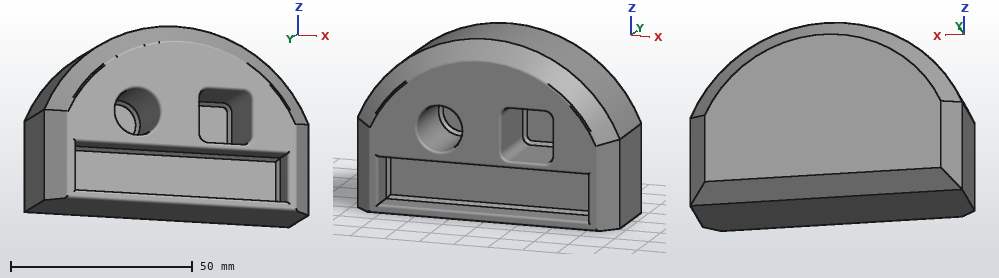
import cadquery as cq

width = 76.2
depth = 28.7
height = 50.8
wall_height = height / 2
bevel = 5.0
edge_round = 0.725

floor_chamfer = 1.0
recess_offset = width / 6
recess_height = wall_height
deep_recess_depth = 20.0
hole_diameter = 13.0
square_side = 15.0
square_corner_radius = 2.5
tray_width = 60.95
tray_bottom = 2.5
tray_height = 13.5
tray_depth = 8.0

OVERLAP = 0.8


def make_body():
    """Arched block with 45 degree bevels, except at the front bottom edge, and a rounded front rim."""
    half = width / 2
    block = (
        cq.Workplane("XZ")
        .moveTo(-half, 0)
        .lineTo(half, 0)
        .lineTo(half, wall_height)
        .threePointArc((0, height), (-half, wall_height))
        .close()
        .extrude(-depth)
    )
    block = block.faces(">Y").edges().chamfer(bevel)
    block = block.faces("<Y").edges("not <Z").chamfer(bevel)
    return block.faces("<Y").edges().fillet(edge_round)


def outline_at(x, z):
    """Sketch plane on the front face, centred on a recess."""
    return cq.Workplane("XZ", origin=(x, -OVERLAP, z))


def recess_cutter(outline, recess_depth):
    """Extrude an outline into the body and chamfer the edges of its floor."""
    cutter = outline.extrude(-(recess_depth + OVERLAP))
    return cutter.faces(">Y").edges().chamfer(floor_chamfer)


def make_hole():
    outline = outline_at(-recess_offset, recess_height).circle(hole_diameter / 2)
    return recess_cutter(outline, deep_recess_depth)


def make_square():
    profile = cq.Sketch().rect(square_side, square_side).vertices().fillet(square_corner_radius)
    outline = outline_at(recess_offset, recess_height).placeSketch(profile)
    return recess_cutter(outline, deep_recess_depth)


def make_tray():
    outline = outline_at(0, tray_bottom + tray_height / 2).rect(tray_width, tray_height)
    return recess_cutter(outline, tray_depth)


body = make_body()
for cutter in (make_hole(), make_square(), make_tray()):
    body = body.cut(cutter)

front_face = body.faces("<Y")
mouth_edges = [edge for wire in front_face.val().innerWires() for edge in wire.Edges()]
result = front_face.newObject(mouth_edges).fillet(edge_round)